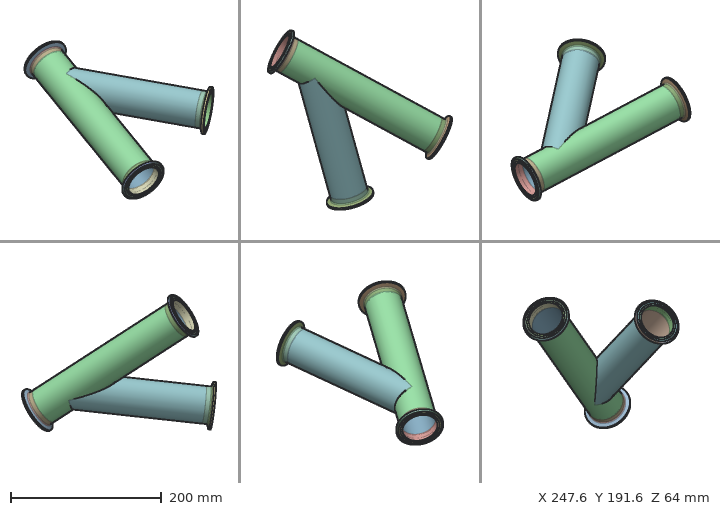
import cadquery as cq
import math

run_length = 247.6
tube_diameter = 50.8
bore_diameter = 47.5
flange_diameter = 64.0
branch_length = 194.0
branch_angle = 45.0

ferrule_length = 12.6
rim_thickness = 3.0
rim_rounding = 0.5
back_slope = 20.0
neck_fillet = 1.7
groove_diameter = 56.0
groove_radius = 1.5

tube_radius = tube_diameter / 2
bore_radius = bore_diameter / 2
flange_radius = flange_diameter / 2
groove_centre = groove_diameter / 2
crossing_x = run_length - branch_length


def rod(radius, start, end):
    """Solid cylinder on the X axis from x = start to x = end."""
    return cq.Workplane("YZ").workplane(offset=start).circle(radius).extrude(end - start)


def ferrule():
    """Hollow ferrule on the X axis, with its weld end at x = 0 and its flange towards +X."""
    slope = math.radians(back_slope)
    rim_start = ferrule_length - rim_thickness
    corner = rim_start - (flange_radius - tube_radius) * math.tan(slope)
    setback = neck_fillet * math.tan((math.pi / 2 - slope) / 2)
    fillet_end = (corner + setback * math.sin(slope), tube_radius + setback * math.cos(slope))
    return (
        cq.Workplane("XY")
        .moveTo(0, bore_radius)
        .lineTo(0, tube_radius)
        .lineTo(corner - setback, tube_radius)
        .radiusArc(fillet_end, -neck_fillet)
        .lineTo(rim_start, flange_radius)
        .lineTo(ferrule_length - rim_rounding, flange_radius)
        .radiusArc((ferrule_length, flange_radius - rim_rounding), rim_rounding)
        .lineTo(ferrule_length, groove_centre + groove_radius)
        .threePointArc(
            (ferrule_length - groove_radius, groove_centre),
            (ferrule_length, groove_centre - groove_radius),
        )
        .lineTo(ferrule_length, bore_radius)
        .close()
        .revolve(360, (0, 0, 0), (1, 0, 0))
    )


def along_arm(shape, angle):
    """Move a shape lying on the X axis onto an arm that leaves the crossing of the axes."""
    return shape.rotate((0, 0, 0), (0, 0, 1), angle).translate((crossing_x, 0, 0))


def tee(radius):
    """Solid run and branch of one radius, joined at the crossing and ending at the welds."""
    run = rod(radius, ferrule_length, run_length - ferrule_length)
    branch = rod(radius, 0, branch_length - ferrule_length)
    return run.union(along_arm(branch, branch_angle))


arms = [
    (run_length - crossing_x, 0),
    (crossing_x, 180),
    (branch_length, branch_angle),
]

result = tee(tube_radius).cut(tee(bore_radius))

for length, angle in arms:
    end_ferrule = ferrule().translate((length - ferrule_length, 0, 0))
    result = result.union(along_arm(end_ferrule, angle), clean=False)